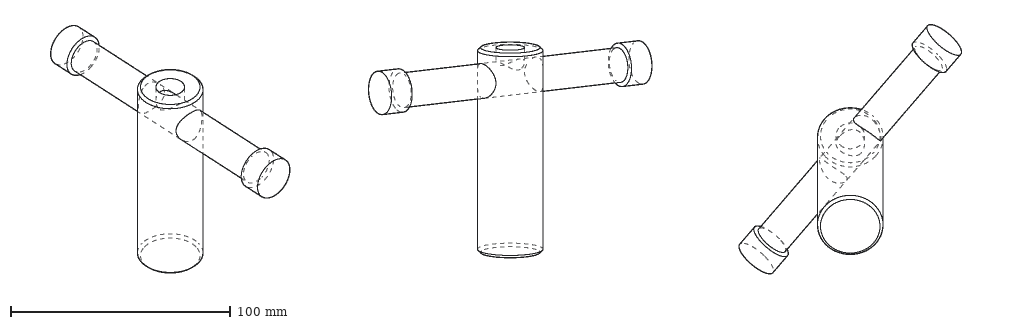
import cadquery as cq

body_diameter = 30.0
body_height = 95.0
body_chamfer = 1.4
top_hole_diameter = 13.0

bar_length = 140.0
rod_diameter = 16.0
head_diameter = 20.0
head_length = 11.8
head_cone_length = 0.7
bar_depth = 14.0

bar_height = body_height - bar_depth


def make_rod():
    """Plain rod, centred on the body axis."""
    return (
        cq.Workplane("YZ", origin=(0, 0, bar_height))
        .circle(rod_diameter / 2)
        .extrude(bar_length / 2, both=True)
    )


def make_head(side):
    """Round head with a tapered shoulder; side is -1 or +1 along X."""
    end_x = side * bar_length / 2
    cone_start_x = end_x - side * (head_length - head_cone_length)
    cone_end_x = end_x - side * head_length
    half_profile = (
        cq.Workplane("XZ", origin=(0, 0, bar_height))
        .moveTo(end_x, 0)
        .lineTo(end_x, head_diameter / 2)
        .lineTo(cone_start_x, head_diameter / 2)
        .lineTo(cone_end_x, rod_diameter / 2)
        .lineTo(cone_end_x, 0)
        .close()
    )
    return half_profile.revolve(360, (0, 0, 0), (1, 0, 0))


def make_tommy_bar():
    """Rod and both heads as one solid."""
    bar = make_rod()
    for side in (-1, 1):
        bar = bar.union(make_head(side))
    return bar


def make_body():
    """Chamfered cylinder with a cross bore for the rod and a top hole that ends in the bore."""
    body = (
        cq.Workplane("XY")
        .circle(body_diameter / 2)
        .extrude(body_height)
        .edges()
        .chamfer(body_chamfer)
    )
    top_hole = (
        cq.Workplane("XY", origin=(0, 0, bar_height))
        .circle(top_hole_diameter / 2)
        .extrude(bar_depth)
    )
    return body.cut(make_rod()).cut(top_hole)


body = make_body()
tommy_bar = make_tommy_bar()

result = cq.Compound.makeCompound([body.solids().val(), tommy_bar.solids().val()])